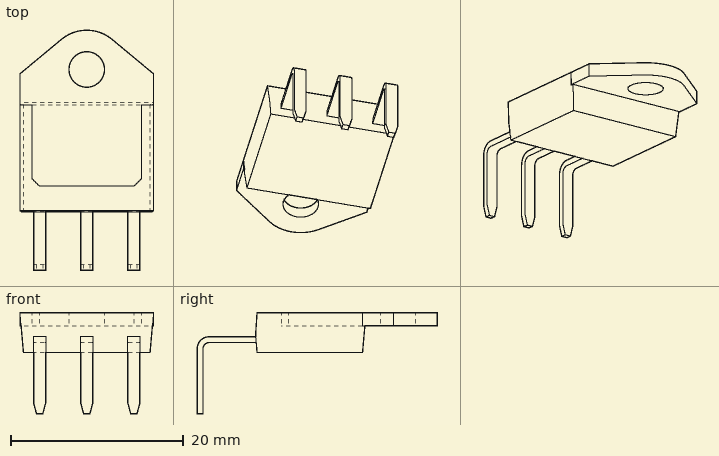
import cadquery as cq
import math


width = 15.5
total_length = 27.8
total_height = 11.7

tab_thickness = 1.53
hole_diameter = 4.1
nose_radius = 4.55
shoulder_y = -0.5
step_y = -4.1
pad_width = 12.65
pad_end_y = -13.5
pad_chamfer = 0.83

case_height = 4.62
case_bottom_width = 14.68
back_draft = 5.0
case_front_y = -16.32
parting_bulge = 0.17
parting_depth = 2.53

lead_count = 3
lead_pitch = 5.45
lead_width = 1.42
lead_thickness = 0.7
lead_top_depth = 2.78
bend_inner_radius = 0.7
lead_tip_width = 0.75
lead_taper_length = 1.25

lead_end_y = nose_radius - total_length
parting_y = case_front_y - parting_bulge


def make_tab():
    """Flat tab with a rounded nose, a mounting hole and a chamfered pad."""
    half_width = width / 2
    half_pad = pad_width / 2

    shoulder_distance = math.hypot(half_width, shoulder_y)
    tangent_angle = math.atan2(shoulder_y, half_width) + math.acos(nose_radius / shoulder_distance)
    tangent_x = nose_radius * math.cos(tangent_angle)
    tangent_y = nose_radius * math.sin(tangent_angle)

    return (
        cq.Workplane("XY")
        .moveTo(half_width, shoulder_y)
        .lineTo(tangent_x, tangent_y)
        .threePointArc((0, nose_radius), (-tangent_x, tangent_y))
        .lineTo(-half_width, shoulder_y)
        .lineTo(-half_width, step_y)
        .lineTo(-half_pad, step_y)
        .lineTo(-half_pad, pad_end_y + pad_chamfer)
        .lineTo(-half_pad + pad_chamfer, pad_end_y)
        .lineTo(half_pad - pad_chamfer, pad_end_y)
        .lineTo(half_pad, pad_end_y + pad_chamfer)
        .lineTo(half_pad, step_y)
        .lineTo(half_width, step_y)
        .close()
        .moveTo(0, 0)
        .circle(hole_diameter / 2)
        .extrude(-tab_thickness)
    )


def make_case(tab):
    """Drafted case with a recess that fits the tab."""
    back_top_y = step_y + case_height * math.tan(math.radians(back_draft))
    side_profile = (
        cq.Workplane("YZ")
        .polyline([
            (back_top_y, 0),
            (case_front_y, 0),
            (parting_y, -parting_depth),
            (case_front_y, -case_height),
            (step_y, -case_height),
        ])
        .close()
        .extrude(width / 2, both=True)
    )
    drafted_sides = (
        cq.Workplane("XZ")
        .polyline([
            (-width / 2, 0),
            (width / 2, 0),
            (case_bottom_width / 2, -case_height),
            (-case_bottom_width / 2, -case_height),
        ])
        .close()
        .extrude(total_length, both=True)
    )
    return side_profile.intersect(drafted_sides).cut(tab).solids()


def make_lead(x_center, case):
    """Flat lead, bent down, with a tapered tip and an end flush with the case."""
    bend_outer_radius = bend_inner_radius + lead_thickness
    bend_y = lead_end_y + bend_outer_radius
    bend_z = -lead_top_depth - bend_outer_radius
    diagonal = math.sqrt(0.5)

    strip = (
        cq.Workplane("YZ")
        .moveTo(case_front_y, -lead_top_depth)
        .lineTo(bend_y, -lead_top_depth)
        .threePointArc(
            (bend_y - bend_outer_radius * diagonal, bend_z + bend_outer_radius * diagonal),
            (lead_end_y, bend_z),
        )
        .lineTo(lead_end_y, -total_height)
        .lineTo(lead_end_y + lead_thickness, -total_height)
        .lineTo(lead_end_y + lead_thickness, bend_z)
        .threePointArc(
            (bend_y - bend_inner_radius * diagonal, bend_z + bend_inner_radius * diagonal),
            (bend_y, bend_z + bend_inner_radius),
        )
        .lineTo(case_front_y, -lead_top_depth - lead_thickness)
        .close()
        .extrude(lead_width / 2, both=True)
    )
    taper_z = lead_taper_length - total_height
    tapered_outline = (
        cq.Workplane("XZ")
        .polyline([
            (-lead_width / 2, 0),
            (lead_width / 2, 0),
            (lead_width / 2, taper_z),
            (lead_tip_width / 2, -total_height),
            (-lead_tip_width / 2, -total_height),
            (-lead_width / 2, taper_z),
        ])
        .close()
        .extrude(total_length, both=True)
    )
    return strip.intersect(tapered_outline).translate((x_center, 0, 0)).cut(case).solids()


tab = make_tab()
case = make_case(tab)
leads = []
for index in range(lead_count):
    lead_x = (index - (lead_count - 1) / 2) * lead_pitch
    leads.append(make_lead(lead_x, case))

result = cq.Compound.makeCompound([tab.val(), case.val(), *[lead.val() for lead in leads]])